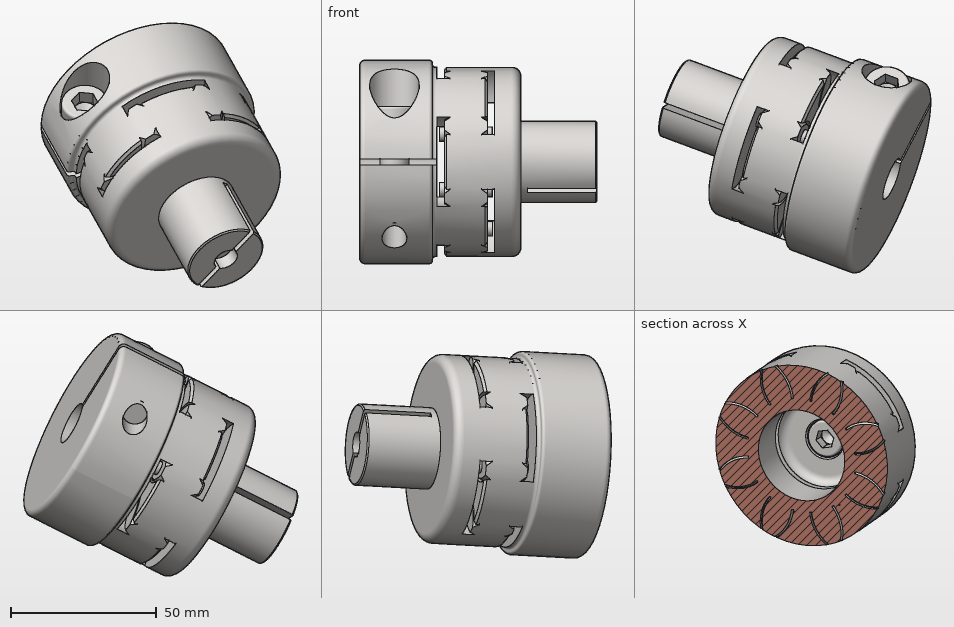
import cadquery as cq
import math


clamp_length = 25.0
clamp_floor_x = 26.6
spider_start_x = 29.1
spider_end_x = 43.9
shaft_hub_floor_x = 46.3
shaft_hub_end_x = 55.4
shaft_end_x = 81.5

clamp_radius = 35.005
clamp_front_fillet = 1.95
clamp_shoulder_fillet = 1.1
clamp_bore_diameter = 15.0
clamp_slit_width = 2.0

clamp_screw_x = 12.0
clamp_screw_y = -23.1
clamp_head_top_z = 19.1
clamp_head_height = 10.0
clamp_head_diameter = 16.0
clamp_head_fillet = 1.0
clamp_counterbore_diameter = 17.0
clamp_clearance_diameter = 10.4
clamp_shank_diameter = 10.0
clamp_shank_length = 30.0
clamp_tap_diameter = 8.5
clamp_hex_width = 8.0

jaw_radius = 32.5
jaw_inner_radius = 20.45
jaw_outer_half_angle = 16.9
jaw_inner_half_angle = 8.9
jaw_side_radius = 15.0
jaw_count = 4
jaw_pitch = 360 / jaw_count
tooth_count = 2 * jaw_count
tooth_pitch = 360 / tooth_count
jaw_tip_chamfer_axial = 0.8
jaw_tip_chamfer_radial = 1.1
spider_bore_radius = 16.2
tooth_chamfer_axial = 2.0
tooth_chamfer_side = 1.2
tooth_pin_diameter = 5.0
tooth_pin_circle_radius = 24.9
tooth_pin_height = 1.7

shaft_hub_fillet = 3.1
pocket_depth = 3.1
pocket_fillet = 3.0
shaft_diameter = 28.0
shaft_chamfer = 0.5
shaft_slot_start_x = 57.6
shaft_slot_width = 2.0
shaft_slot_angle = 45

centre_head_diameter = 13.0
centre_head_height = 8.0
centre_head_fillet = 0.8
centre_counterbore_diameter = 13.5
centre_counterbore_chamfer = 0.5
centre_bore_diameter = 8.6
centre_shank_diameter = 8.0
centre_shank_length = 19.6
centre_hex_width = 6.0
centre_hex_angle = -14

CONE_DEPTH_RATIO = 0.3


def disc(start_x, end_x, radius):
    """Cylinder on the X axis, with its seam on the underside."""
    cylinder = cq.Workplane("YZ", origin=(start_x, 0, 0)).circle(radius).extrude(end_x - start_x)
    return cylinder.rotate((0, 0, 0), (1, 0, 0), -90)


def polar(radius, angle):
    """Point in the YZ plane, with the angle in degrees from +Y towards +Z."""
    return (radius * math.cos(math.radians(angle)), radius * math.sin(math.radians(angle)))


def sector_outline(start_x, outer_half_angle, inner_half_angle, side_radius):
    """Section centred on +Y between the inner and outer jaw cylinders; a negative side radius bulges the sides."""
    outer_low = polar(jaw_radius, -outer_half_angle)
    outer_high = polar(jaw_radius, outer_half_angle)
    inner_low = polar(jaw_inner_radius, -inner_half_angle)
    inner_high = polar(jaw_inner_radius, inner_half_angle)
    return (
        cq.Workplane("YZ", origin=(start_x, 0, 0))
        .moveTo(*outer_low)
        .threePointArc((jaw_radius, 0), outer_high)
        .radiusArc(inner_high, side_radius)
        .threePointArc((jaw_inner_radius, 0), inner_low)
        .radiusArc(outer_low, side_radius)
        .close()
    )


def jaw_ring(start_x, end_x, first_angle):
    """Four equal jaws between two stations."""
    outline = sector_outline(start_x, jaw_outer_half_angle, jaw_inner_half_angle, jaw_side_radius)
    jaw = outline.extrude(end_x - start_x)
    jaws = cq.Workplane("YZ")
    for index in range(jaw_count):
        angle = first_angle + index * jaw_pitch
        jaws = jaws.add(jaw.rotate((0, 0, 0), (1, 0, 0), angle))
    return jaws.combine()


def tip_bevel(tip_x, direction):
    """Ring that bevels the outer corner of the jaw tips; direction points from the tip to the root."""
    return (
        cq.Workplane("XY")
        .moveTo(tip_x, jaw_radius - jaw_tip_chamfer_radial)
        .lineTo(tip_x + direction * jaw_tip_chamfer_axial, jaw_radius)
        .lineTo(tip_x, jaw_radius)
        .close()
        .revolve(360, (0, 0, 0), (1, 0, 0))
    )


def socket_screw(head_diameter, head_height, head_fillet, shank_diameter, shank_length, hex_width, hex_angle):
    """Socket head screw with its head top at the origin and its shank pointing to -Z."""
    socket_depth = head_height / 2
    hex_corner_diameter = hex_width / math.cos(math.radians(30))
    head = (
        cq.Workplane("XY")
        .circle(head_diameter / 2)
        .extrude(-head_height)
        .faces(">Z")
        .edges()
        .fillet(head_fillet)
    )
    shank = cq.Workplane("XY").workplane(offset=-head_height).circle(shank_diameter / 2).extrude(-shank_length)
    socket = (
        cq.Workplane("XY")
        .polygon(6, hex_corner_diameter)
        .extrude(-socket_depth)
        .rotate((0, 0, 0), (0, 0, 1), hex_angle)
    )
    cone = cq.Solid.makeCone(
        hex_width / 2, 0, hex_width * CONE_DEPTH_RATIO, cq.Vector(0, 0, -socket_depth), cq.Vector(0, 0, -1)
    )
    return head.union(shank).cut(socket).cut(cq.Workplane(cone))


def vertical_hole(top_z, bottom_z, diameter):
    """Cylinder on the clamp screw axis."""
    return (
        cq.Workplane("XY", origin=(clamp_screw_x, clamp_screw_y, bottom_z))
        .circle(diameter / 2)
        .extrude(top_z - bottom_z)
    )


def make_clamp_hub():
    neck = disc(0, clamp_floor_x, jaw_radius)
    body = (
        disc(0, clamp_length, clamp_radius)
        .union(neck)
        .faces("<X").edges().fillet(clamp_front_fillet)
        .faces(">X[-2]").edges().fillet(clamp_shoulder_fillet)
    )
    jaws = jaw_ring(clamp_floor_x, spider_end_x, jaw_pitch / 2).cut(tip_bevel(spider_end_x, -1))
    hub = body.union(jaws).cut(disc(0, clamp_floor_x, clamp_bore_diameter / 2))
    slit = cq.Workplane("XY").box(
        clamp_floor_x, clamp_radius, clamp_slit_width, centered=(False, False, True)
    ).translate((0, -clamp_radius, 0))
    seat_z = clamp_head_top_z - clamp_head_height
    hub = hub.cut(slit)
    hub = hub.cut(vertical_hole(clamp_radius, seat_z, clamp_counterbore_diameter))
    hub = hub.cut(vertical_hole(seat_z, 0, clamp_clearance_diameter))
    return hub.cut(vertical_hole(0, -clamp_radius, clamp_tap_diameter))


def make_clamp_screw():
    return socket_screw(
        clamp_head_diameter, clamp_head_height, clamp_head_fillet,
        clamp_shank_diameter, clamp_shank_length, clamp_hex_width, 0,
    ).translate((clamp_screw_x, clamp_screw_y, clamp_head_top_z))


def make_tooth():
    """Spider tooth centred on +Y, filling the space between two jaws, with bevelled side edges."""
    outline = sector_outline(
        spider_start_x, tooth_pitch / 2 - jaw_outer_half_angle, tooth_pitch / 2 - jaw_inner_half_angle, -jaw_side_radius
    )
    return (
        outline.extrude(spider_end_x - spider_start_x)
        .faces("|X").edges(">Z or <Z")
        .chamfer(tooth_chamfer_axial, tooth_chamfer_side)
    )


def make_spider():
    """Ring with a tooth between every two jaws; every second tooth has a pin on both ends."""
    spider = disc(spider_start_x, spider_end_x, jaw_inner_radius)
    spider = spider.cut(disc(spider_start_x, spider_end_x, spider_bore_radius))
    tooth = make_tooth()
    pin = disc(spider_start_x - tooth_pin_height, spider_end_x + tooth_pin_height, tooth_pin_diameter / 2)
    pin = pin.translate((0, tooth_pin_circle_radius, 0))
    for index in range(tooth_count):
        angle = (index + 0.5) * tooth_pitch
        spider = spider.union(tooth.rotate((0, 0, 0), (1, 0, 0), angle))
        if index % 2 == 1:
            spider = spider.union(pin.rotate((0, 0, 0), (1, 0, 0), angle))
    return spider


def make_shaft_hub():
    body = (
        disc(shaft_hub_floor_x, shaft_hub_end_x, jaw_radius)
        .faces(">X").edges().fillet(shaft_hub_fillet)
    )
    jaws = jaw_ring(spider_start_x, shaft_hub_floor_x, 0).cut(tip_bevel(spider_start_x, 1))
    shaft = (
        disc(shaft_hub_end_x, shaft_end_x, shaft_diameter / 2)
        .faces(">X").edges().chamfer(shaft_chamfer)
    )
    pocket_floor_x = shaft_hub_floor_x + pocket_depth
    pocket = (
        disc(shaft_hub_floor_x, pocket_floor_x, spider_bore_radius)
        .faces(">X").edges().fillet(pocket_fillet)
    )
    seat_x = pocket_floor_x + centre_head_height
    counterbore = disc(pocket_floor_x, seat_x, centre_counterbore_diameter / 2)
    counterbore_bevel = cq.Workplane(cq.Solid.makeCone(
        centre_counterbore_diameter / 2 + centre_counterbore_chamfer, centre_counterbore_diameter / 2,
        centre_counterbore_chamfer, cq.Vector(pocket_floor_x, 0, 0), cq.Vector(1, 0, 0),
    ))
    bore = disc(seat_x, shaft_end_x, centre_bore_diameter / 2)
    slot = (
        cq.Workplane("XY")
        .box(shaft_end_x - shaft_slot_start_x, shaft_diameter, shaft_slot_width, centered=(False, True, True))
        .translate((shaft_slot_start_x, 0, 0))
        .rotate((0, 0, 0), (1, 0, 0), shaft_slot_angle)
    )
    hub = body.union(shaft).union(jaws)
    for void in (pocket, counterbore, counterbore_bevel, bore, slot):
        hub = hub.cut(void)
    return hub


def make_centre_screw():
    screw = socket_screw(
        centre_head_diameter, centre_head_height, centre_head_fillet,
        centre_shank_diameter, centre_shank_length, centre_hex_width, 0,
    )
    return (
        screw.rotate((0, 0, 0), (0, 1, 0), -90)
        .rotate((0, 0, 0), (1, 0, 0), 90 + centre_hex_angle)
        .translate((shaft_hub_floor_x + pocket_depth, 0, 0))
    )


result = (
    make_clamp_hub()
    .union(make_clamp_screw())
    .union(make_spider())
    .union(make_shaft_hub())
    .union(make_centre_screw())
)